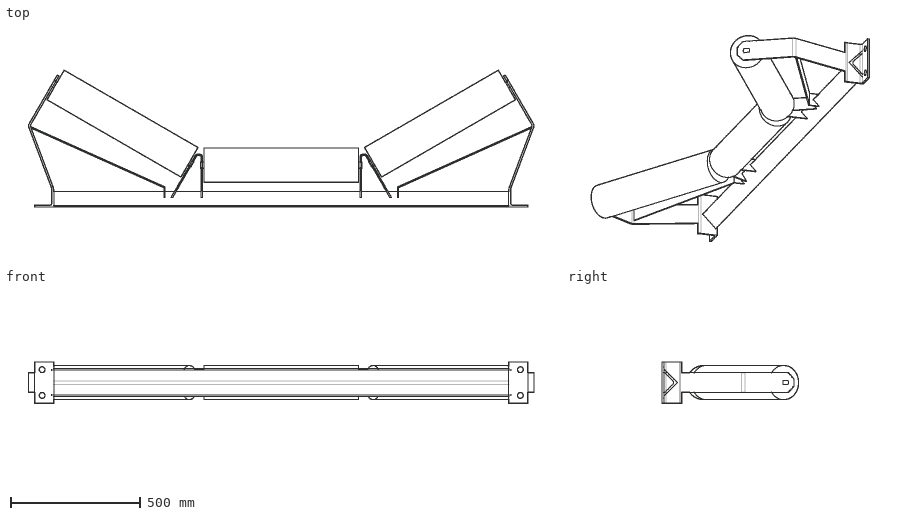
import cadquery as cq
import math


SPAN = 1953.0
TROUGH_ANGLE = 30.0

ROLLER_DIAMETER = 133.0
ROLLER_LENGTH = 598.0
MIDDLE_AXIS_Y = 162.0
SIDE_CENTER_X = 613.0
SIDE_CENTER_Y = 322.0
SHAFT_DIAMETER = 25.0
SHAFT_FLAT_WIDTH = 15.0
ROLLER_GAP = 5.0

BEAM_CORNER_Y = 60.0
BEAM_LEG = 76.0
BEAM_THICKNESS = 8.0
BEAM_ROOT_RADIUS = 10.0
BEAM_END_X = 887.0

SADDLE_THICKNESS = 5.0
SADDLE_WIDTH = 49.0
SADDLE_BEND_RADIUS = 4.0
SADDLE_TOP_Y = 201.0

BRACKET_THICKNESS = 8.0
BRACKET_WIDTH = 76.0
BRACKET_CHAMFER = 23.0
BRACKET_BEYOND_AXIS = 37.0
BRACKET_LEAN = 20.5
BEND_RADIUS = 8.0
LEAN_BEND_RADIUS = 15.0
FOOT_WIDTH = 160.0
FOOT_END_X = 953.0
SHOULDER_Y = 78.0
FOOT_HOLE_DIAMETER = 21.0
FOOT_HOLE_X = 924.0
FOOT_HOLE_SPACING = 100.0

BRACE_THICKNESS = 4.9
BRACE_KNEE_Y = 309.0
BRACE_FOOT_X = 451.0
BRACE_BEND_Y = 76.0

STRAP_INNER = ROLLER_LENGTH / 2 + ROLLER_GAP
SHAFT_LENGTH = 2 * (STRAP_INNER + BRACKET_THICKNESS)
SADDLE_MIDDLE = STRAP_INNER + SADDLE_THICKNESS / 2
BRACKET_MIDDLE = STRAP_INNER + BRACKET_THICKNESS / 2
SADDLE_FOOT_Y = BEAM_CORNER_Y - SADDLE_WIDTH / 2
TILT = math.radians(TROUGH_ANGLE)
LEAN = math.radians(BRACKET_LEAN)


def beside_left_roller(along, above):
    """Point in the left roller's own axes: outward along its axis, upward across it."""
    x = -SIDE_CENTER_X - along * math.cos(TILT) + above * math.sin(TILT)
    y = SIDE_CENTER_Y + along * math.sin(TILT) + above * math.cos(TILT)
    return x, y


def left_of_path(points, distance):
    """Offset an open path sideways, with mitred corners."""
    headings = [
        math.atan2(end[1] - start[1], end[0] - start[0])
        for start, end in zip(points, points[1:])
    ]
    before = headings[:1] + headings
    after = headings + headings[-1:]
    shifted = []
    for (x, y), angle_in, angle_out in zip(points, before, after):
        middle = (angle_in + angle_out) / 2
        reach = distance / math.cos((angle_out - angle_in) / 2)
        shifted.append((x - reach * math.sin(middle), y + reach * math.cos(middle)))
    return shifted


def bar(workplane, length):
    """Extrude a workplane's closed outline as one piece centred on the workplane."""
    return workplane.extrude(length).translate(workplane.plane.zDir * (-length / 2))


def bent_strip(points, thickness, width):
    """Flat bar with sharp bends along a centre path, centred on Z = 0."""
    left = left_of_path(points, thickness / 2)
    right = left_of_path(points, -thickness / 2)
    return bar(cq.Workplane("XY").polyline(left + right[::-1]).close(), width)


def round_corner(body, point, radius):
    """Fillet the edge along Z that passes nearest to a point of the XY plane."""
    return body.edges("|Z").edges(cq.selectors.NearestToPointSelector((*point, 0))).fillet(radius)


def mirrored(body):
    return body.mirror("YZ")


def on_left_roller(body):
    """Move a body from the origin, lying along X, to the left roller's place."""
    tilted = body.rotate((0, 0, 0), (0, 0, 1), -TROUGH_ANGLE)
    return tilted.translate((-SIDE_CENTER_X, SIDE_CENTER_Y, 0))


def make_shaft():
    """Shaft along X with two flats on the ends that pass through the straps."""
    radius = SHAFT_DIAMETER / 2
    round_part = bar(cq.Workplane("YZ").circle(radius), 2 * STRAP_INNER)
    flat_part = bar(cq.Workplane("YZ").circle(radius), SHAFT_LENGTH).intersect(
        cq.Workplane("XY").box(SHAFT_LENGTH, SHAFT_DIAMETER, SHAFT_FLAT_WIDTH)
    )
    return flat_part.union(round_part)


def make_roller():
    ring = cq.Workplane("YZ").circle(ROLLER_DIAMETER / 2).circle(SHAFT_DIAMETER / 2)
    return bar(ring, ROLLER_LENGTH)


def make_beam():
    """Angle bar, drawn with its legs along the axes and then turned corner-up."""
    section = (
        cq.Workplane("YZ")
        .polyline([
            (0, 0),
            (-BEAM_LEG, 0),
            (-BEAM_LEG, BEAM_THICKNESS),
            (-BEAM_THICKNESS, BEAM_THICKNESS),
            (-BEAM_THICKNESS, BEAM_LEG),
            (0, BEAM_LEG),
        ])
        .close()
    )
    beam = bar(section, 2 * BEAM_END_X)
    root = cq.selectors.NearestToPointSelector((0, -BEAM_THICKNESS, BEAM_THICKNESS))
    beam = beam.edges("|X").edges(root).fillet(BEAM_ROOT_RADIUS)
    return beam.rotate((0, 0, 0), (1, 0, 0), 45).translate((0, BEAM_CORNER_Y, 0))


def make_beam_space():
    """Everything on and under the beam's two upper faces, for notching parts that stand on it."""
    section = (
        cq.Workplane("YZ")
        .polyline([
            (BEAM_CORNER_Y, 0),
            (BEAM_CORNER_Y - BEAM_LEG, -BEAM_LEG),
            (BEAM_CORNER_Y - BEAM_LEG, BEAM_LEG),
        ])
        .close()
    )
    return bar(section, 2 * BEAM_END_X)


def make_left_saddle():
    """Inverted V of bar that carries the left and middle rollers' neighbouring shaft ends."""
    axis_y = beside_left_roller(-SADDLE_MIDDLE, 0)[1]
    top_above = (SADDLE_TOP_Y - axis_y) / math.cos(TILT)
    foot_above = (SADDLE_FOOT_Y - axis_y) / math.cos(TILT)
    path = [
        beside_left_roller(-SADDLE_MIDDLE, foot_above),
        beside_left_roller(-SADDLE_MIDDLE, top_above),
        (-SADDLE_MIDDLE, SADDLE_TOP_Y),
        (-SADDLE_MIDDLE, SADDLE_FOOT_Y),
    ]
    saddle = bent_strip(path, SADDLE_THICKNESS, SADDLE_WIDTH)
    outside = left_of_path(path, SADDLE_THICKNESS / 2)
    inside = left_of_path(path, -SADDLE_THICKNESS / 2)
    for bend in (1, 2):
        saddle = round_corner(saddle, outside[bend], SADDLE_BEND_RADIUS + SADDLE_THICKNESS)
        saddle = round_corner(saddle, inside[bend], SADDLE_BEND_RADIUS)
    return saddle.cut(make_beam_space())


def left_bracket_path():
    """Centre path from the foot's end, up past the beam, round the knee, to the roller."""
    half = BRACKET_THICKNESS / 2
    half_turn = (TILT + LEAN) / 2
    rounding = (BEND_RADIUS + BRACKET_THICKNESS) * (1 / math.cos(half_turn) - 1)
    knee_x = -SPAN / 2 - rounding + half / math.cos(half_turn)
    knee_above = (knee_x - beside_left_roller(BRACKET_MIDDLE, 0)[0]) / math.sin(TILT)
    knee = beside_left_roller(BRACKET_MIDDLE, knee_above)
    upright_x = -BEAM_END_X + half
    lean_start_y = knee[1] - (upright_x - knee_x) / math.tan(LEAN)
    return [
        (-FOOT_END_X, half),
        (upright_x, half),
        (upright_x, lean_start_y),
        knee,
        beside_left_roller(BRACKET_MIDDLE, BRACKET_BEYOND_AXIS),
    ]


def make_left_plate():
    """Bent plate of the end bracket, with its shoulder, bolt holes and chamfered top."""
    path = left_bracket_path()
    left_side = left_of_path(path, BRACKET_THICKNESS / 2)
    right_side = left_of_path(path, -BRACKET_THICKNESS / 2)
    plate = bent_strip(path, BRACKET_THICKNESS, FOOT_WIDTH)
    plate = round_corner(plate, left_side[1], BEND_RADIUS)
    plate = round_corner(plate, left_side[2], LEAN_BEND_RADIUS)
    plate = round_corner(plate, right_side[2], LEAN_BEND_RADIUS + BRACKET_THICKNESS)
    plate = round_corner(plate, left_side[3], BEND_RADIUS + BRACKET_THICKNESS)
    plate = round_corner(plate, right_side[3], BEND_RADIUS)

    wide_part = cq.Workplane("XY").box(2 * SPAN, 2 * SHOULDER_Y, FOOT_WIDTH)
    narrow_part = cq.Workplane("XY").box(2 * SPAN, 2 * SPAN, BRACKET_WIDTH)
    plate = plate.intersect(wide_part.union(narrow_part))

    top_x, top_y = path[-1]
    for side in (-1, 1):
        corner = cq.selectors.NearestToPointSelector((top_x, top_y, side * BRACKET_WIDTH / 2))
        plate = plate.edges(corner).chamfer(BRACKET_CHAMFER)

    holes = (
        cq.Workplane("XZ")
        .pushPoints([(-FOOT_HOLE_X, side * FOOT_HOLE_SPACING / 2) for side in (-1, 1)])
        .circle(FOOT_HOLE_DIAMETER / 2)
        .extrude(-BRACKET_THICKNESS)
    )
    return plate.cut(holes)


def make_left_brace():
    """Diagonal from the knee, bent down onto the beam."""
    path = [
        (-SPAN / 2 + BRACKET_THICKNESS, BRACE_KNEE_Y),
        (-BRACE_FOOT_X, BRACE_BEND_Y),
        (-BRACE_FOOT_X, SADDLE_FOOT_Y),
    ]
    return bent_strip(path, BRACE_THICKNESS, SADDLE_WIDTH).cut(make_beam_space())


middle_shaft = make_shaft().translate((0, MIDDLE_AXIS_Y, 0))
left_shaft = on_left_roller(make_shaft())
shafts = [left_shaft, middle_shaft, mirrored(left_shaft)]

middle_roller = make_roller().translate((0, MIDDLE_AXIS_Y, 0))
left_roller = on_left_roller(make_roller())
rollers = [left_roller, middle_roller, mirrored(left_roller)]

beam = make_beam()
left_saddle = make_left_saddle().cut(left_shaft).cut(middle_shaft)
beam_frame = beam.union(left_saddle).union(mirrored(left_saddle))

left_bracket = make_left_plate().union(make_left_brace())
left_bracket = left_bracket.cut(left_shaft).cut(beam)
brackets = [left_bracket, mirrored(left_bracket)]

bodies = [beam_frame, *brackets, *rollers, *shafts]
result = cq.Compound.makeCompound([body.solids().val() for body in bodies])